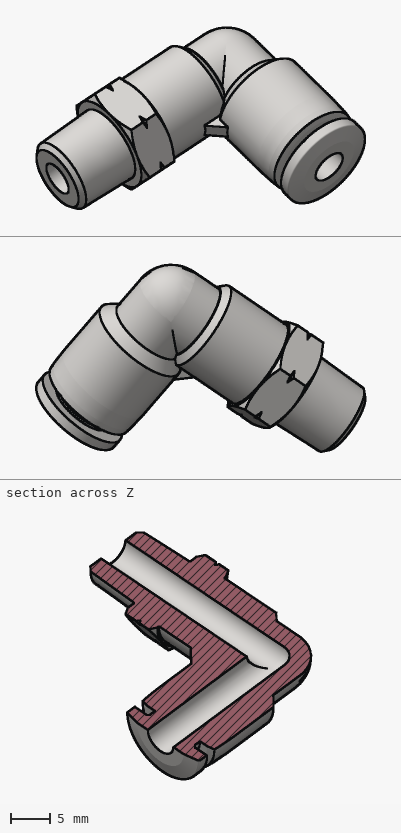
import cadquery as cq
import math

overall_length = 34.3
socket_radius = 13.0 / 2
neck_radius = 5.0
bore_radius = 2.23

stem_radius = 6.05
stem_shoulder_start = 3.98
stem_shoulder_start_radius = 5.15
stem_shoulder_end = 4.97
hex_start = 14.03
hex_end = 19.25
thread_base_radius = 5.15
thread_end_radius = 4.9
thread_tip_radius = 4.22
thread_chamfer_start = 27.1
stem_end = overall_length - socket_radius

hex_corner_radius = 7.35
hex_face_radius = hex_corner_radius * math.cos(math.radians(30))
hex_chamfer_height = (hex_corner_radius - hex_face_radius) * math.tan(math.radians(30))
notch_position = 16.5
notch_half_width = 0.27
notch_root_radius = hex_corner_radius - 0.45

socket_shoulder_start = 4.95
socket_shoulder_end = 6.48
socket_taper_start = 14.13
socket_taper_middle = 16.22
socket_taper_middle_radius = 6.4
socket_rim_radius = 6.3
socket_rim = 17.2
socket_end = 17.4
socket_face_radius = 5.28
groove_radius = 3.98
groove_flare_start = 18.28
groove_flare_radius = 4.22
collar_start = 18.55
collar_radius = 6.35
collar_rim_round = 0.2
collar_rim_end = 19.85
collar_face_radius = 4.08
collar_end = 20.48

web_thickness = 2.02
web_reach = 8.1
web_axis_sum = 14.5


def revolve_stem(profile):
    """Revolve (radius, distance) points about the stem axis, distance being along -Y."""
    points = [(radius, -distance) for radius, distance in profile]
    return cq.Workplane("XY").polyline(points).close().revolve(360, (0, 0), (0, 1))


def make_stem():
    return revolve_stem([
        (0, 0),
        (neck_radius, 0),
        (neck_radius, stem_shoulder_start),
        (stem_shoulder_start_radius, stem_shoulder_start),
        (stem_radius, stem_shoulder_end),
        (stem_radius, hex_end),
        (thread_base_radius, hex_end),
        (thread_end_radius, thread_chamfer_start),
        (thread_tip_radius, stem_end),
        (0, stem_end),
    ])


def make_hexagon():
    prism = (
        cq.Workplane("XZ", origin=(0, -hex_start, 0))
        .polygon(6, 2 * hex_corner_radius)
        .extrude(hex_end - hex_start)
    )
    envelope = revolve_stem([
        (0, hex_start),
        (hex_face_radius, hex_start),
        (hex_corner_radius, hex_start + hex_chamfer_height),
        (hex_corner_radius, notch_position - notch_half_width),
        (notch_root_radius, notch_position),
        (hex_corner_radius, notch_position + notch_half_width),
        (hex_corner_radius, hex_end - hex_chamfer_height),
        (hex_face_radius, hex_end),
        (0, hex_end),
    ])
    return prism.intersect(envelope)


def make_socket():
    outline = (
        cq.Workplane("XY")
        .polyline([
            (0, 0),
            (0, neck_radius),
            (socket_shoulder_start, neck_radius),
            (socket_shoulder_end, socket_radius),
            (socket_taper_start, socket_radius),
            (socket_taper_middle, socket_taper_middle_radius),
            (socket_rim, socket_rim_radius),
            (socket_end, socket_face_radius),
            (socket_end, groove_radius),
            (groove_flare_start, groove_radius),
            (collar_start, groove_flare_radius),
            (collar_start, collar_radius),
            (collar_rim_end, collar_radius),
        ])
        .tangentArcPoint((collar_rim_round, -collar_rim_round))
        .lineTo(collar_end, collar_face_radius)
        .lineTo(collar_end, 0)
        .close()
    )
    return outline.revolve(360, (0, 0), (1, 0))


def make_web():
    return (
        cq.Workplane("XY", origin=(0, 0, -web_thickness / 2))
        .polyline([
            (neck_radius, -neck_radius),
            (web_reach, -neck_radius),
            (web_reach, web_reach - web_axis_sum),
            (neck_radius, neck_radius - web_axis_sum),
        ])
        .close()
        .extrude(web_thickness)
    )


def make_bore():
    """Flow passage turning the corner through a spherical end."""
    stem_bore = cq.Workplane("XZ").circle(bore_radius).extrude(stem_end)
    socket_bore = cq.Workplane("YZ").circle(bore_radius).extrude(collar_end)
    return stem_bore.union(socket_bore).union(cq.Workplane("XY").sphere(bore_radius))


elbow = cq.Workplane("XY").sphere(neck_radius)
body = make_stem().union(make_socket()).union(elbow).union(make_hexagon()).union(make_web())
result = body.cut(make_bore())